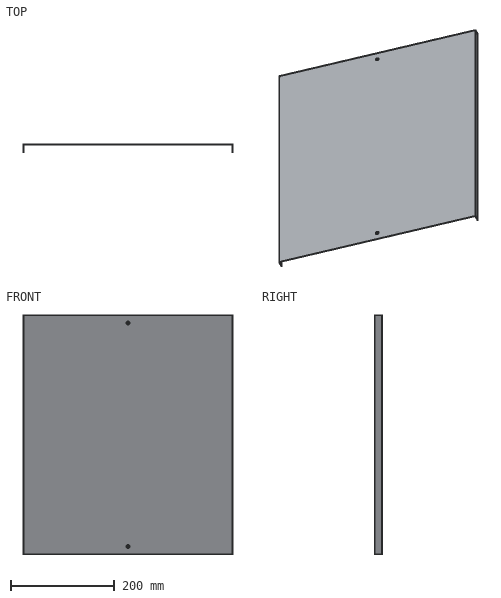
import cadquery as cq

panel_width = 403.2
panel_depth = 14.6
panel_height = 460.0
sheet_thickness = 0.6

hole_diameter = 5.0
hole_edge_distance = 15.0
hole_spacing = panel_height - 2 * hole_edge_distance


def folded_sheet():
    """Channel with its web at the back (+Y) and its flanges pointing to -Y."""
    block = cq.Workplane("XY").box(panel_width, panel_depth, panel_height)
    channel_width = panel_width - 2 * sheet_thickness
    channel = (
        cq.Workplane("XY")
        .box(channel_width, panel_depth, panel_height)
        .translate((0, -sheet_thickness, 0))
    )
    return block.cut(channel)


def mounting_holes():
    """Cylinders that pierce the web at both hole positions."""
    return (
        cq.Workplane("XZ")
        .rarray(1, hole_spacing, 1, 2)
        .circle(hole_diameter / 2)
        .extrude(panel_depth, both=True)
    )


result = folded_sheet().cut(mounting_holes())